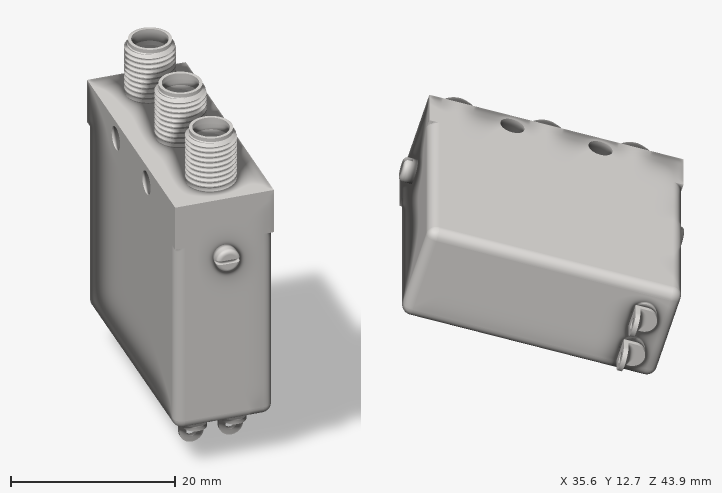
import cadquery as cq
import math

OVERALL_LENGTH = 35.56
OVERALL_HEIGHT = 43.92

BODY_LENGTH = 32.26
BODY_WIDTH = 12.73
BODY_HEIGHT = 31.75
BLOCK_HEIGHT = 5.97
CASE_FILLET = 1.27
CASE_BOTTOM = -BODY_HEIGHT

CONNECTOR_COUNT = 3
CONNECTOR_SPACING = 11.176
CONNECTOR_HEIGHT = 7.37
THREAD_DIAMETER = 6.35
THREAD_DEPTH = 0.38
THREAD_PITCH = 25.4 / 36
THREAD_START = -0.22 - THREAD_PITCH
THREAD_HALF_ANGLE = math.radians(30)
GROOVE_ROOT_WIDTH = 0.14
OVERCUT = 0.1
COLLAR_DIAMETER = 5.38
COLLAR_HEIGHT = 0.51
BORE_DIAMETER = 4.57
BORE_DEPTH = 1.65
FLOOR_DIAMETER = 3.8
FLOOR_CONE_DEPTH = 0.38
CONTACT_DIAMETER = 1.27
SOCKET_DIAMETER = 0.94
SOCKET_DEPTH = 2.5

MOUNT_HOLE_DIAMETER = 3.05
MOUNT_HOLE_DROP = 2.36

SCREW_DIAMETER = 3.05
SCREW_DROP = 8.0
SCREW_LENGTH = (OVERALL_LENGTH - BODY_LENGTH) / 2
SCREW_FILLET = 0.5
SCREW_SLOT_WIDTH = 0.51
SCREW_SLOT_DEPTH = 1.02

TERMINAL_X = 12.3
TERMINAL_SPACING = 5.08
TERMINAL_WIDTH = 3.11
TERMINAL_DROP = OVERALL_HEIGHT - CONNECTOR_HEIGHT - BODY_HEIGHT
FLANGE_HEIGHT = 0.5
POST_DIAMETER = 1.07
LUG_THICKNESS = 0.58
LUG_TOP_DROP = 1.32
LUG_HOLE_DIAMETER = 1.42


def make_case():
    case_height = BODY_HEIGHT - BLOCK_HEIGHT
    return (
        cq.Workplane("XY", origin=(0, 0, CASE_BOTTOM))
        .rect(BODY_LENGTH, BODY_WIDTH)
        .extrude(case_height)
        .edges("|Z or <Z")
        .fillet(CASE_FILLET)
    )


def make_block():
    drill_length = 2 * BODY_WIDTH
    holes = (
        cq.Workplane("XZ", origin=(0, BODY_WIDTH, -MOUNT_HOLE_DROP))
        .rarray(CONNECTOR_SPACING, 1, CONNECTOR_COUNT - 1, 1)
        .circle(MOUNT_HOLE_DIAMETER / 2)
        .extrude(drill_length)
    )
    block = (
        cq.Workplane("XY", origin=(0, 0, -BLOCK_HEIGHT))
        .rect(BODY_LENGTH, BODY_WIDTH)
        .extrude(BLOCK_HEIGHT)
    )
    return block.cut(holes)


def make_thread_groove():
    """V-shaped helical cutter with a flat root, longer than the connector at both ends."""
    root_radius = THREAD_DIAMETER / 2 - THREAD_DEPTH
    outer_radius = THREAD_DIAMETER / 2 + OVERCUT
    root_half = GROOVE_ROOT_WIDTH / 2
    outer_half = root_half + (outer_radius - root_radius) * math.tan(THREAD_HALF_ANGLE)
    length = CONNECTOR_HEIGHT - THREAD_START
    helix = cq.Wire.makeHelix(THREAD_PITCH, length, root_radius, center=cq.Vector(0, 0, THREAD_START))
    return (
        cq.Workplane("XZ", origin=(0, 0, THREAD_START))
        .moveTo(root_radius, -root_half)
        .lineTo(outer_radius, -outer_half)
        .lineTo(outer_radius, outer_half)
        .lineTo(root_radius, root_half)
        .close()
        .sweep(cq.Workplane(helix), isFrenet=True)
    )


def make_threaded_barrel():
    """Threaded barrel turned down to a plain collar, with a 45 degree lead-in, at its top."""
    collar_radius = COLLAR_DIAMETER / 2
    collar_base = CONNECTOR_HEIGHT - COLLAR_HEIGHT
    outer_radius = THREAD_DIAMETER / 2 + OVERCUT
    lead_in_height = outer_radius - collar_radius
    turned_ring = (
        cq.Workplane("XZ")
        .moveTo(collar_radius, CONNECTOR_HEIGHT + OVERCUT)
        .lineTo(collar_radius, collar_base)
        .lineTo(outer_radius, collar_base - lead_in_height)
        .lineTo(outer_radius, CONNECTOR_HEIGHT + OVERCUT)
        .close()
        .revolve(360, (0, 0, 0), (0, 1, 0))
    )
    barrel = cq.Workplane("XY").circle(THREAD_DIAMETER / 2).extrude(CONNECTOR_HEIGHT)
    return barrel.cut(make_thread_groove()).cut(turned_ring)


def make_connector_bore():
    """Open mouth, conical edge of the floor, and a socket with a countersunk rim."""
    floor = CONNECTOR_HEIGHT - BORE_DEPTH - FLOOR_CONE_DEPTH
    contact_radius = CONTACT_DIAMETER / 2
    socket_radius = SOCKET_DIAMETER / 2
    return (
        cq.Workplane("XZ", origin=(0, 0, floor))
        .moveTo(0, -SOCKET_DEPTH)
        .lineTo(socket_radius, -SOCKET_DEPTH)
        .lineTo(socket_radius, socket_radius - contact_radius)
        .lineTo(contact_radius, 0)
        .lineTo(FLOOR_DIAMETER / 2, 0)
        .lineTo(BORE_DIAMETER / 2, FLOOR_CONE_DEPTH)
        .lineTo(BORE_DIAMETER / 2, FLOOR_CONE_DEPTH + BORE_DEPTH)
        .lineTo(0, FLOOR_CONE_DEPTH + BORE_DEPTH)
        .close()
        .revolve(360, (0, 0, 0), (0, 1, 0))
    )


def make_screw_head():
    """Screw head on the +X end, with its slot along Y."""
    slot = cq.Workplane("XY").box(2 * SCREW_SLOT_DEPTH, 2 * SCREW_DIAMETER, SCREW_SLOT_WIDTH)
    return (
        cq.Workplane("YZ")
        .circle(SCREW_DIAMETER / 2)
        .extrude(SCREW_LENGTH)
        .faces(">X")
        .edges()
        .fillet(SCREW_FILLET)
        .cut(slot.translate((SCREW_LENGTH, 0, 0)))
        .translate((BODY_LENGTH / 2, 0, -SCREW_DROP))
    )


def make_terminal():
    """Flange, post and bent lug hanging from Z = 0, with the post on the Z axis."""
    radius = TERMINAL_WIDTH / 2
    hole_height = radius - TERMINAL_DROP
    flange = cq.Workplane("XY").circle(radius).extrude(-FLANGE_HEIGHT)
    post = cq.Workplane("XY").circle(POST_DIAMETER / 2).extrude(-LUG_TOP_DROP)
    foot = (
        cq.Workplane("XY", origin=(0, 0, -LUG_TOP_DROP))
        .moveTo(-radius, -radius)
        .lineTo(0, -radius)
        .threePointArc((radius, 0), (0, radius))
        .lineTo(-radius, radius)
        .close()
        .extrude(-LUG_THICKNESS)
    )
    leg = (
        cq.Workplane("YZ", origin=(-radius, 0, 0))
        .moveTo(-radius, -LUG_TOP_DROP)
        .lineTo(-radius, hole_height)
        .threePointArc((0, -TERMINAL_DROP), (radius, hole_height))
        .lineTo(radius, -LUG_TOP_DROP)
        .close()
        .moveTo(0, hole_height)
        .circle(LUG_HOLE_DIAMETER / 2)
        .extrude(LUG_THICKNESS)
    )
    return flange.union(post).union(foot).union(leg)


result = make_block().union(make_case())

screw_head = make_screw_head()
result = result.union(screw_head).union(screw_head.mirror("YZ"))

terminal = make_terminal()
for side in (-1, 1):
    result = result.union(terminal.translate((TERMINAL_X, side * TERMINAL_SPACING / 2, CASE_BOTTOM)))

barrel = make_threaded_barrel()
bore = make_connector_bore()
for index in range(CONNECTOR_COUNT):
    connector_x = (index - (CONNECTOR_COUNT - 1) / 2) * CONNECTOR_SPACING
    result = result.union(barrel.translate((connector_x, 0, 0)))
    result = result.cut(bore.translate((connector_x, 0, 0)))